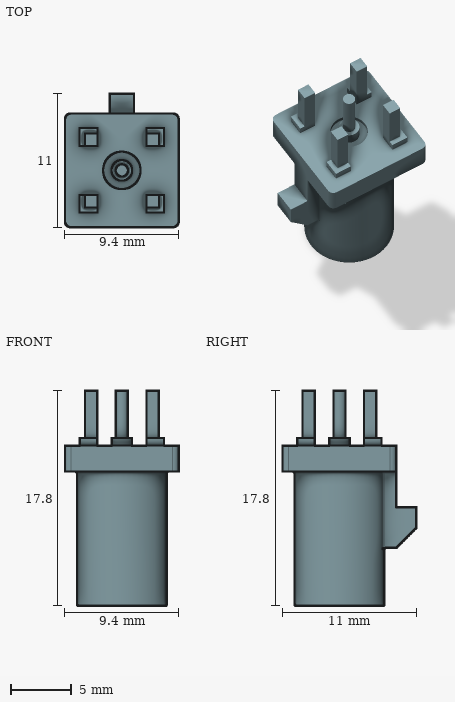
import cadquery as cq

flange_side = 9.4
flange_thickness = 2.13
flange_corner_radius = 0.52

barrel_diameter = 7.41
barrel_length = 11.11
barrel_edge_radius = 0.16
joint_radius = 0.15

overall_height = 17.78
pin_height = overall_height - flange_thickness - barrel_length
step_height = 0.64

pad_inner_offset = 2.03
pad_side = 1.45
leg_side = 1.03

contact_diameter = 1.01
collar_diameter = 1.7
recess_diameter = 3.1
recess_depth = 0.35

latch_width = 2.03
latch_overhang = 1.64
latch_shelf_drop = 2.93
latch_nose_height = 1.72

flange_bottom = -flange_thickness
barrel_bottom = flange_bottom - barrel_length


def make_flange():
    """Square mounting flange with rounded vertical corners."""
    block = cq.Workplane("XY").workplane(offset=flange_bottom)
    block = block.rect(flange_side, flange_side).extrude(flange_thickness)
    return block.edges("|Z").fillet(flange_corner_radius)


def make_barrel():
    """Round barrel below the flange, rounded at its free end."""
    barrel = cq.Workplane("XY").workplane(offset=barrel_bottom)
    barrel = barrel.circle(barrel_diameter / 2).extrude(barrel_length)
    return barrel.faces("<Z").edges().fillet(barrel_edge_radius)


def make_latch():
    """Hooked latch on the +Y side, reaching inward to the barrel axis."""
    wall_y = flange_side / 2
    nose_y = wall_y + latch_overhang
    shelf_z = flange_bottom - latch_shelf_drop
    nose_z = shelf_z - latch_nose_height
    latch_bottom = nose_z - latch_overhang
    outline = [
        (0, flange_bottom),
        (wall_y, flange_bottom),
        (wall_y, shelf_z),
        (nose_y, shelf_z),
        (nose_y, nose_z),
        (wall_y, latch_bottom),
        (0, latch_bottom),
    ]
    profile = cq.Workplane("YZ").polyline(outline).close()
    return profile.extrude(latch_width / 2, both=True)


def round_joints(body):
    """Fillet the inner corners where flange, barrel and latch meet."""
    reach = barrel_diameter / 2
    flange_joint = cq.selectors.BoxSelector(
        (-reach, -reach, flange_bottom - joint_radius),
        (reach, flange_side / 2 - joint_radius, flange_bottom + joint_radius),
    )
    barrel_joint = cq.selectors.BoxSelector(
        (-latch_width, barrel_diameter / 4, barrel_bottom + barrel_length / 4),
        (latch_width, reach, flange_bottom - joint_radius),
    )
    return body.edges(flange_joint + barrel_joint).fillet(joint_radius)


def make_corner_leg(x_sign, y_sign):
    """Square leg on a wider pad, flush at the corner nearest the axis."""
    def post(side, height):
        center = pad_inner_offset + side / 2
        base = cq.Workplane("XY").center(x_sign * center, y_sign * center)
        return base.rect(side, side).extrude(height)

    return post(pad_side, step_height).union(post(leg_side, pin_height))


def make_center_contact():
    """Stepped round contact standing on the recess floor."""
    floor = cq.Workplane("XY").workplane(offset=-recess_depth)
    collar = floor.circle(collar_diameter / 2).extrude(recess_depth + step_height)
    pin = floor.circle(contact_diameter / 2).extrude(recess_depth + pin_height)
    return collar.union(pin)


body = make_flange().union(make_barrel()).union(make_latch())
body = round_joints(body)

recess = cq.Workplane("XY").circle(recess_diameter / 2).extrude(-recess_depth)
result = body.cut(recess).union(make_center_contact())

for x_sign in (-1, 1):
    for y_sign in (-1, 1):
        result = result.union(make_corner_leg(x_sign, y_sign))